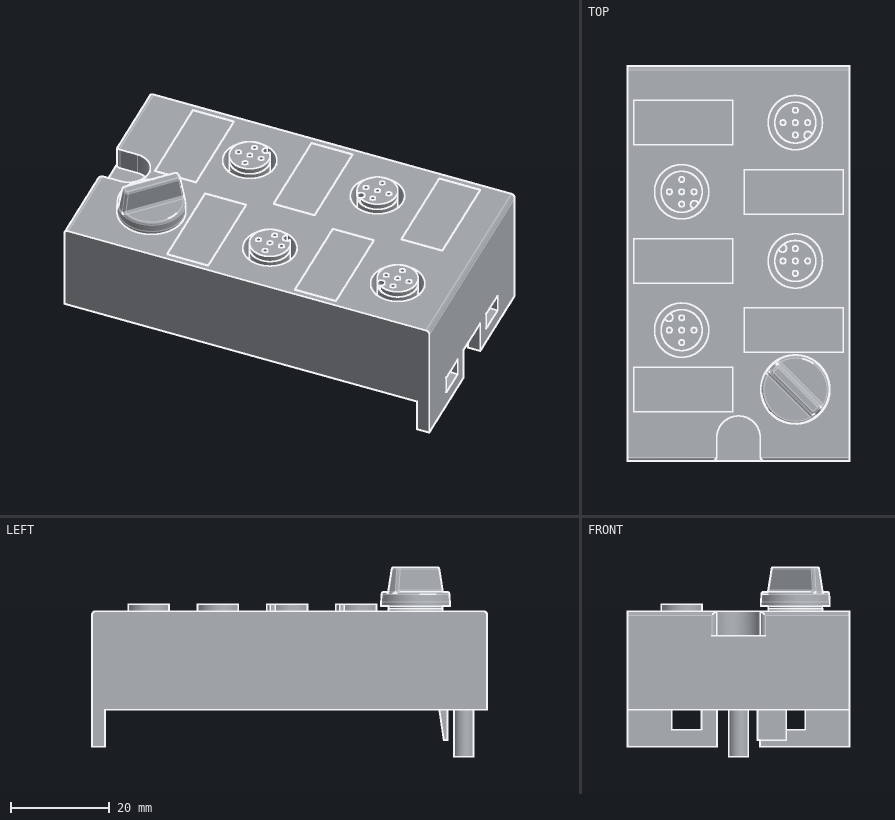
import cadquery as cq
import math

width = 45.0
length = 80.0
height = 20.0
end_round = 0.8

foot_thickness = 2.7
foot_drop = 7.5
foot_gap = 8.7
window_inner = 7.5
window_outer = 13.5
window_height = 4.0

column_x = 11.5
label_x = 11.2
socket_pitch = 14.0
first_socket_y = 28.5
knob_pitch = 12.0
socket_count = 4
socket_stations = [
    (column_x if i % 2 == 0 else -column_x, first_socket_y - i * socket_pitch) for i in range(socket_count)
]
knob_station = (column_x, socket_stations[-1][1] - knob_pitch)

label_width = 20.0
label_height = 9.0
label_depth = 0.1

well_diameter = 11.0
well_depth = 6.0
socket_diameter = 8.3
socket_height = 1.4
contact_hole_diameter = 1.1
contact_offset = 2.5
key_diameter = 1.6
key_offset = 3.65
key_direction_upper = -45.0
key_direction_lower = key_direction_upper + 180.0

notch_radius = 4.4
notch_depth = 5.0
notch_corner_round = 1.0
screw_inset = 4.75
screw_y = screw_inset - length / 2
screw_diameter = 4.0
screw_drop = 9.5

latch_left_x = 3.8
latch_width = 5.9
latch_front_y = -32.0
latch_drop = 6.1
latch_root_thickness = 1.7
latch_tip_thickness = 0.8

neck_diameter = 11.0
collar_height = 0.45
neck_height = 1.0
flange_rim_height = 0.85
flange_height = 2.9
grip_height = 5.0
flange_bottom = height + neck_height
flange_rim_top = flange_bottom + flange_rim_height
flange_top = flange_bottom + flange_height
flange_radius = 7.0
flange_top_radius = 6.85
flange_round = 0.5
knob_top = flange_top + grip_height
grip_end_radius = 6.05
grip_base_half_width = 1.4
grip_top_half_width = 1.05
grip_corner_round = 0.55
grip_edge_round = 0.4
grip_root_round = 0.45
grip_angle = -45.0


def cylinder(diameter, bottom, top, x, y):
    return cq.Workplane("XY", origin=(x, y, bottom)).circle(diameter / 2).extrude(top - bottom)


def block(x_size, y_size, z_size, x, y, bottom):
    return cq.Workplane("XY", origin=(x, y, bottom)).rect(x_size, y_size).extrude(z_size)


def make_notch():
    """Round-ended slot open to the -Y face, flaring out through rounded corners."""
    front_y = -length / 2
    mouth = notch_radius + notch_corner_round
    corner_y = front_y + notch_corner_round
    near = notch_corner_round * (1 - math.sqrt(0.5))
    mid_x = notch_radius + near
    mid_y = front_y + near
    return (
        cq.Workplane("XY", origin=(0, 0, height - notch_depth))
        .moveTo(-mouth, front_y)
        .threePointArc((-mid_x, mid_y), (-notch_radius, corner_y))
        .lineTo(-notch_radius, screw_y)
        .threePointArc((0, screw_y + notch_radius), (notch_radius, screw_y))
        .lineTo(notch_radius, corner_y)
        .threePointArc((mid_x, mid_y), (mouth, front_y))
        .close()
        .extrude(notch_depth)
    )


def make_foot():
    foot_y = length / 2 - foot_thickness / 2
    foot = block(width, foot_thickness, foot_drop, 0, foot_y, -foot_drop)
    foot = foot.cut(block(foot_gap, foot_thickness, foot_drop, 0, foot_y, -foot_drop))
    window_width = window_outer - window_inner
    window_x = (window_inner + window_outer) / 2
    for side in (-1, 1):
        window = block(window_width, foot_thickness, window_height, side * window_x, foot_y, -window_height)
        foot = foot.cut(window)
    return foot


def make_housing():
    body = block(width, length, height, 0, 0, 0)
    body = body.faces(">Z").edges("|X").fillet(end_round)
    body = body.union(make_foot())
    body = body.cut(make_notch())
    for x, y in socket_stations:
        well = cylinder(well_diameter, height - well_depth, height, x, y)
        post = cylinder(socket_diameter, height - well_depth, height, x, y)
        body = body.cut(well.cut(post))
    for x, y in socket_stations + [knob_station]:
        opposite_x = -math.copysign(label_x, x)
        label = block(label_width, label_height, label_depth, opposite_x, y, height - label_depth)
        body = body.cut(label)
    collar = cylinder(neck_diameter, height, height + collar_height, *knob_station)
    return body.union(collar)


def make_socket(x, y, key_direction):
    """Contact disc with five contact holes and a round coding notch in its rim."""
    top = height + socket_height
    socket = cylinder(socket_diameter, height, top, x, y)
    steps = [(0, 0), (1, 0), (-1, 0), (0, 1), (0, -1)]
    for step_x, step_y in steps:
        hole_x = x + step_x * contact_offset
        hole_y = y + step_y * contact_offset
        socket = socket.cut(cylinder(contact_hole_diameter, height, top, hole_x, hole_y))
    key_x = x + key_offset * math.cos(math.radians(key_direction))
    key_y = y + key_offset * math.sin(math.radians(key_direction))
    return socket.cut(cylinder(key_diameter, height, top, key_x, key_y))


def make_grip():
    """Conical plug cut down to a wedge that narrows upwards, along local X."""
    cone = (
        cq.Workplane("XZ")
        .polyline([
            (0, flange_rim_top),
            (flange_top_radius, flange_rim_top),
            (flange_top_radius, flange_top),
            (grip_end_radius, knob_top),
            (0, knob_top),
        ])
        .close()
        .revolve(360, (0, 0, 0), (0, 1, 0))
    )
    wedge = (
        cq.Workplane("YZ", origin=(-flange_radius, 0, 0))
        .polyline([
            (-grip_base_half_width, flange_rim_top),
            (grip_base_half_width, flange_rim_top),
            (grip_base_half_width, flange_top),
            (grip_top_half_width, knob_top),
            (-grip_top_half_width, knob_top),
            (-grip_base_half_width, flange_top),
        ])
        .close()
        .extrude(2 * flange_radius)
    )
    grip = cone.intersect(wedge)
    upright_corners = cq.selectors.BoxSelector(
        (-flange_radius, -flange_radius, flange_top + grip_edge_round),
        (flange_radius, flange_radius, knob_top - grip_edge_round),
    )
    grip = grip.edges(upright_corners).fillet(grip_corner_round)
    return grip.faces(">Z").edges().fillet(grip_edge_round)


def make_knob():
    neck_radius = neck_diameter / 2
    base = (
        cq.Workplane("XZ")
        .polyline([
            (0, height + collar_height),
            (neck_radius, height + collar_height),
            (neck_radius, flange_bottom),
            (flange_radius, flange_bottom),
            (flange_radius, flange_rim_top),
            (flange_top_radius, flange_top),
            (0, flange_top),
        ])
        .close()
        .revolve(360, (0, 0, 0), (0, 1, 0))
        .faces(">Z")
        .edges()
        .fillet(flange_round)
    )
    knob = base.union(make_grip())
    grip_roots = cq.selectors.BoxSelector(
        (-flange_radius, -flange_radius, flange_top - grip_root_round),
        (flange_radius, flange_radius, flange_top + grip_root_round),
    )
    knob = knob.edges("|X").edges(grip_roots).fillet(grip_root_round)
    return knob.rotate((0, 0, 0), (0, 0, 1), grip_angle).translate((*knob_station, 0))


def make_screw():
    return cylinder(screw_diameter, -screw_drop, 0, 0, screw_y)


def make_latch():
    """Tongue with a flat -Y face, tapering towards its lower end."""
    return (
        cq.Workplane("YZ", origin=(latch_left_x, 0, 0))
        .moveTo(latch_front_y, 0)
        .lineTo(latch_front_y + latch_root_thickness, 0)
        .lineTo(latch_front_y + latch_tip_thickness, -latch_drop)
        .lineTo(latch_front_y, -latch_drop)
        .close()
        .extrude(latch_width)
    )


housing = make_housing()
sockets = []
for index, (x, y) in enumerate(socket_stations):
    direction = key_direction_upper if index < socket_count / 2 else key_direction_lower
    sockets.append(make_socket(x, y, direction))
knob = make_knob()
screw = make_screw()
latch = make_latch()

result = cq.Compound.makeCompound(
    [housing.val(), *[socket.val() for socket in sockets], knob.val(), screw.val(), latch.val()]
)